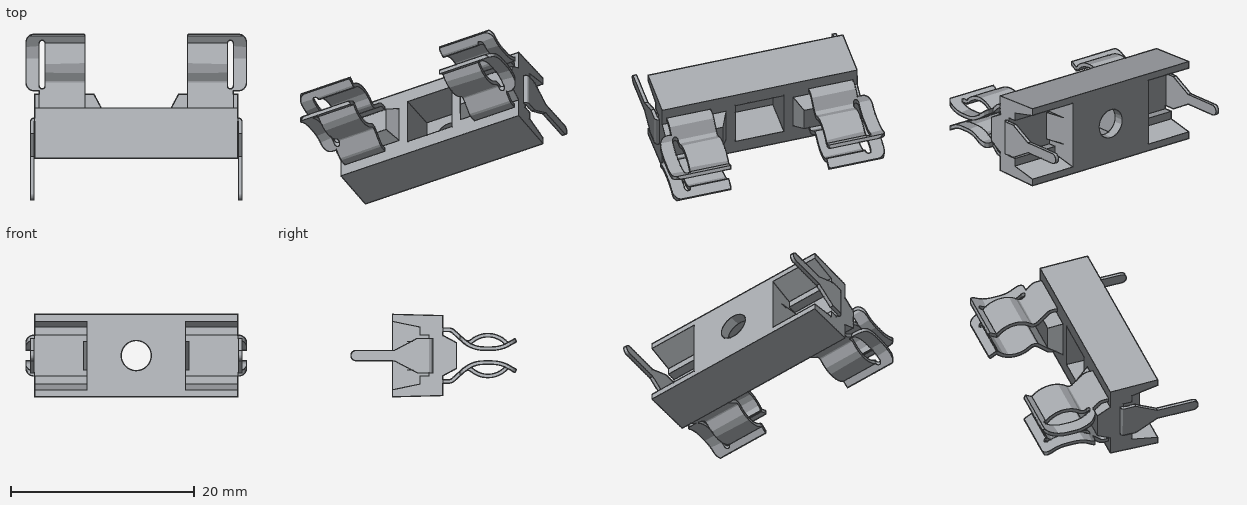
import cadquery as cq
import math


base_length = 22.1
base_depth = 5.5
base_half_height_front = 4.5
base_half_height_back = 4.36
hole_diameter = 3.25

nut_width = 5.5
nut_seat_y = 1.2

pad_rise = 1.5
pad_half_height_root = 2.2
pad_half_height_top = 1.4
pad_length_root = 7.25
pad_length_top = 6.45

pocket_length = 5.7
pocket_depth = 4.0
pocket_step_depth = 3.0
pocket_half_height_mouth = 3.72
pocket_half_height_step = 3.1
pocket_half_height_floor = 2.22

wedge_start_depth = 1.63
wedge_rise = 0.4
wedge_half_height = 1.55

sheet = 0.4

terminal_gap = 0.06
plate_half_height = 1.88
plate_taper_start = 2.72
plate_taper_end = 0.22
pin_half_height = 0.57
pin_length = 4.52
terminal_back = pocket_depth + sheet
neck_embed = 0.5

clip_outer_x = -12.0
clip_inner_x = -5.55
slot_outer_x = -10.55
slot_inner_x = -9.93
slot_start_y = 7.58
slot_end_y = 12.85
tab_start_y = 7.35
tab_corner_radius = 0.9
lip_corner_radius = 0.2

leg_z = 2.82
leg_embed = 0.5
leg_end_y = 6.1
leg_bend_radius = 0.77
slope_angle = 42.0
tab_z = 0.76
tab_flat_start_y = 9.95
tab_flat_end_y = 10.85
tab_slope_radius = 3.3
tab_lip_radius = 3.6
lip_angle = 30.0
lip_end_y = 13.52
bulge_centre = (10.4, -0.48)
bulge_radius = 2.7
bulge_end_y = 12.55
valley_radius = 0.7
bulge_overlap = 0.25


def along(point, distance, angle):
    """Point at a distance from another one, in a direction given in degrees."""
    radians = math.radians(angle)
    return point[0] + distance * math.cos(radians), point[1] + distance * math.sin(radians)


def symmetric_prism(half_outline, x_start, x_end):
    """Extrude along X a (y, z) half outline together with its mirror image about Z = 0."""
    mirrored = [(y, -z) for y, z in reversed(half_outline)]
    profile = cq.Workplane("YZ", origin=(x_start, 0, 0)).polyline(half_outline + mirrored).close()
    return profile.extrude(x_end - x_start)


def ribbon(centreline, x_start, x_end):
    """Thicken a YZ centreline to the sheet thickness and extrude it along X."""
    wire = centreline.wire().val()
    start, direction = wire.startPoint(), wire.tangentAt(0)
    frame = cq.Plane(origin=start.toTuple(), xDir=(1, 0, 0), normal=direction.toTuple())
    width = x_end - x_start
    section = cq.Workplane(frame).center(width / 2, 0).rect(width, sheet)
    return section.sweep(cq.Workplane(wire), transition="right")


def both_ends(end):
    return end.union(end.mirror("YZ"))


def make_pad():
    """Raised pad with sloping sides, square at the end of the base and sloping towards the middle."""
    end_x = -base_length / 2
    top_y = base_depth + pad_rise
    root_y = base_depth / 2
    side = symmetric_prism(
        [
            (root_y, pad_half_height_root),
            (base_depth, pad_half_height_root),
            (top_y, pad_half_height_top),
        ],
        end_x,
        end_x + pad_length_root,
    )
    plan = [
        (end_x, root_y),
        (end_x + pad_length_root, root_y),
        (end_x + pad_length_root, base_depth),
        (end_x + pad_length_top, top_y),
        (end_x, top_y),
    ]
    return side.intersect(cq.Workplane("XY").polyline(plan).close().extrude(base_depth, both=True))


def make_pocket():
    """Pocket with sloping side walls and a narrower floor, less the wedge on its inner wall."""
    end_x = -base_length / 2
    wall_x = end_x + pocket_length
    pocket = symmetric_prism(
        [
            (0, pocket_half_height_mouth),
            (pocket_step_depth, pocket_half_height_step),
            (pocket_step_depth, pocket_half_height_floor),
            (pocket_depth, pocket_half_height_floor),
        ],
        end_x,
        wall_x,
    )
    wedge_outline = [
        (wall_x, wedge_start_depth),
        (wall_x, pocket_depth),
        (wall_x - wedge_rise, pocket_depth),
    ]
    wedge = cq.Workplane("XY").polyline(wedge_outline).close().extrude(wedge_half_height, both=True)
    return pocket.cut(wedge)


def make_base():
    body = symmetric_prism(
        [(0, base_half_height_front), (base_depth, base_half_height_back)],
        -base_length / 2,
        base_length / 2,
    )
    hole = cq.Workplane("XZ").circle(hole_diameter / 2).extrude(-base_depth)
    nut_recess = (
        cq.Workplane("XZ", origin=(0, nut_seat_y, 0))
        .rect(nut_width, nut_width)
        .extrude(nut_seat_y - base_depth)
    )
    body = body.union(both_ends(make_pad())).cut(both_ends(make_pocket()))
    return body.cut(hole).cut(nut_recess)


def make_terminal():
    """Plate and pin beside the base, with a bent neck that runs into the base."""
    plate_inner_x = -base_length / 2 - terminal_gap
    plate_outer_x = plate_inner_x - sheet
    pin_round_y = pin_half_height - pin_length
    plate = (
        cq.Workplane("YZ", origin=(plate_outer_x, 0, 0))
        .moveTo(terminal_back, plate_half_height)
        .lineTo(plate_taper_start, plate_half_height)
        .lineTo(plate_taper_end, pin_half_height)
        .lineTo(pin_round_y, pin_half_height)
        .threePointArc((-pin_length, 0), (pin_round_y, -pin_half_height))
        .lineTo(plate_taper_end, -pin_half_height)
        .lineTo(plate_taper_start, -plate_half_height)
        .lineTo(terminal_back, -plate_half_height)
        .close()
        .extrude(sheet)
    )
    neck_length = terminal_gap + neck_embed
    neck = cq.Workplane("XY").box(
        neck_length, sheet, 2 * plate_half_height, centered=(False, False, True)
    )
    neck = neck.translate((plate_inner_x, pocket_depth, 0))
    corner = cq.Workplane("XY").box(sheet, sheet, 2 * plate_half_height, centered=(False, False, True))
    corner = corner.translate((plate_outer_x, pocket_depth, 0))
    bend = (
        cq.Workplane("XY")
        .center(plate_inner_x, pocket_depth)
        .circle(sheet)
        .extrude(plate_half_height, both=True)
    )
    return plate.cut(corner.cut(bend)).union(neck)


slope_arc_centre = (tab_flat_start_y, tab_z + tab_slope_radius)
slope_foot = along(slope_arc_centre, tab_slope_radius, -90 - slope_angle)
lip_arc_centre = (tab_flat_end_y, tab_z + tab_lip_radius)
lip_start = along(lip_arc_centre, tab_lip_radius, -90 + lip_angle)
lip_run = lip_end_y - sheet / 2 * math.sin(math.radians(lip_angle)) - lip_start[0]
lip_length = lip_run / math.cos(math.radians(lip_angle))
lip_tip = along(lip_start, lip_length, lip_angle)


def make_tab_blade():
    """Blade dipping towards Z = 0, from the leg over the slope and the tab to the lip."""
    bend_centre = (leg_end_y, leg_z - leg_bend_radius)
    path = (
        cq.Workplane("YZ", origin=(clip_outer_x, 0, 0))
        .moveTo(base_depth - leg_embed, leg_z)
        .lineTo(leg_end_y, leg_z)
        .threePointArc(
            along(bend_centre, leg_bend_radius, 90 - slope_angle / 2),
            along(bend_centre, leg_bend_radius, 90 - slope_angle),
        )
        .lineTo(*slope_foot)
        .threePointArc(
            along(slope_arc_centre, tab_slope_radius, -90 - slope_angle / 2),
            (tab_flat_start_y, tab_z),
        )
        .lineTo(tab_flat_end_y, tab_z)
        .threePointArc(along(lip_arc_centre, tab_lip_radius, -90 + lip_angle / 2), lip_start)
        .lineTo(*lip_tip)
    )
    return ribbon(path, clip_outer_x, clip_inner_x)


def make_bulge_blade():
    """Blade curved outwards around the fuse, from slope to lip."""
    normal_angle = 90 - slope_angle
    run_angle = 180 - slope_angle
    normal = along((0, 0), 1, normal_angle)
    offset = valley_radius + sum(
        (slope_foot[i] - bulge_centre[i]) * normal[i] for i in range(2)
    )
    run = math.sqrt((bulge_radius + valley_radius) ** 2 - offset**2)
    valley_centre = along(along(bulge_centre, offset, normal_angle), run, run_angle)
    valley_start = along(valley_centre, valley_radius, normal_angle + 180)
    valley_angle = math.degrees(
        math.atan2(valley_centre[1] - bulge_centre[1], valley_centre[0] - bulge_centre[0])
    )
    valley_end = along(bulge_centre, bulge_radius, valley_angle)
    valley_middle = along(valley_centre, valley_radius, 180 + (normal_angle + valley_angle) / 2)
    bulge_end_angle = math.degrees(math.acos((bulge_end_y - bulge_centre[0]) / bulge_radius))
    path = (
        cq.Workplane("YZ", origin=(slot_inner_x, 0, 0))
        .moveTo(*along(valley_start, bulge_overlap, run_angle))
        .lineTo(*valley_start)
        .threePointArc(valley_middle, valley_end)
        .threePointArc(
            along(bulge_centre, bulge_radius, 90),
            along(bulge_centre, bulge_radius, bulge_end_angle),
        )
    )
    return ribbon(path, slot_inner_x, clip_inner_x)


def make_clip_plan():
    """Prism over the XY outline of the clip, with its rounded corners and the slot between the blades."""
    leg_start_y = base_depth - leg_embed
    tab = (
        cq.Workplane("XY")
        .polyline(
            [
                (clip_outer_x, tab_start_y),
                (clip_outer_x, lip_end_y),
                (slot_outer_x, lip_end_y),
                (slot_outer_x, tab_start_y),
            ]
        )
        .close()
        .extrude(base_half_height_front)
        .edges("|Z and <X")
        .fillet(tab_corner_radius)
    )
    spring = (
        cq.Workplane("XY")
        .polyline(
            [
                (slot_outer_x, leg_start_y),
                (slot_outer_x, lip_end_y),
                (clip_inner_x, lip_end_y),
                (clip_inner_x, leg_start_y),
            ]
        )
        .close()
        .extrude(base_half_height_front)
        .edges("|Z and >X and >Y")
        .fillet(lip_corner_radius)
    )
    slot_length = slot_end_y - slot_start_y
    slot_width = slot_inner_x - slot_outer_x
    slot = (
        cq.Workplane("XY")
        .center((slot_outer_x + slot_inner_x) / 2, (slot_start_y + slot_end_y) / 2)
        .slot2D(slot_length, slot_width, 90)
        .extrude(base_half_height_front)
    )
    return tab.union(spring).cut(slot)


def make_clip():
    """Upper and lower spring arms that hold one end of the fuse."""
    blade_width = clip_inner_x - slot_inner_x
    blade_length = bulge_end_y - slope_foot[0]
    bulge_window = (
        cq.Workplane("XY")
        .box(blade_width, blade_length, base_half_height_front, centered=False)
        .translate((slot_inner_x, slope_foot[0], 0))
    )
    arm = make_tab_blade().cut(bulge_window).union(make_bulge_blade())
    arm = arm.intersect(make_clip_plan())
    return arm.union(arm.mirror("XY"))


metal = both_ends(make_terminal()).union(both_ends(make_clip()))
result = make_base().union(metal)